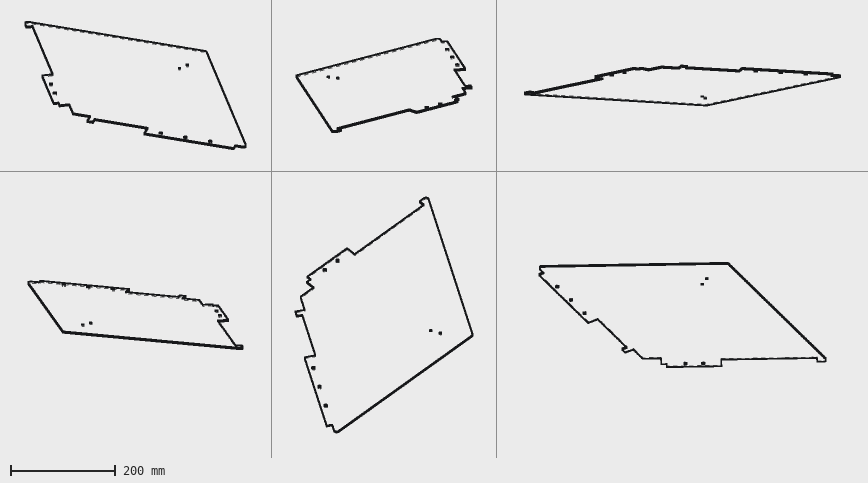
import cadquery as cq
import math

length = 540.0
width = 326.0
thickness = 3.0
corner_radius = 5.5
skew_angle = math.radians(60)

corner_overhang = corner_radius * (1 / math.tan(skew_angle / 2) - 1)

hook_end = 21.0
tab_start = 204.0
tab_end = 309.0
tooth_end = 319.0

main_edge_depth = 12.0
tab_depth = -9.0
tooth_depth = 0.0
lower_edge_depth = 19.0

toe_level = 11.0
ledge_level = 29.0
recess_level = 21.5
peg_left = 223.5
peg_right = 235.0
foot_left = 341.5
foot_right = 521.0

mount_diameter = 5.5
pilot_diameter = 3.5
foot_hole_x = 371.0
foot_hole_pitch = 49.5
foot_hole_count = 3
foot_hole_level = 10.0
tab_hole_stations = (239.0, 273.0)
tab_hole_depth = 0.8
pilot_points = [(342.5, 267.0), (332.0, 250.5)]

upper_left = (-corner_overhang, width)
lower_right = (length + corner_overhang, toe_level)
upper_right = (lower_right[0] - (width - toe_level) / math.tan(skew_angle), width)


def slanted(station, depth):
    """Point at a station down the slanted left side and a depth into the plate."""
    x = upper_left[0] + station * math.cos(skew_angle) + depth * math.sin(skew_angle)
    y = upper_left[1] - station * math.sin(skew_angle) + depth * math.cos(skew_angle)
    return (x, y)


ledge_station = (width - ledge_level + lower_edge_depth * math.cos(skew_angle)) / math.sin(skew_angle)


def make_plate():
    left_side = [
        upper_left,
        slanted(hook_end, 0),
        slanted(hook_end, main_edge_depth),
        slanted(tab_start, main_edge_depth),
        slanted(tab_start, tab_depth),
        slanted(tab_end, tab_depth),
        slanted(tab_end, tooth_depth),
        slanted(tooth_end, tooth_depth),
        slanted(tooth_end, lower_edge_depth),
        slanted(ledge_station, lower_edge_depth),
    ]
    bottom_side = [
        (peg_left, ledge_level),
        (peg_left, toe_level),
        (peg_right, toe_level),
        (peg_right, recess_level),
        (foot_left, recess_level),
        (foot_left, 0),
        (foot_right, 0),
        (foot_right, toe_level),
    ]
    outline = left_side + bottom_side + [lower_right, upper_right]
    plate = cq.Workplane("XY").polyline(outline).close().extrude(thickness)
    for x, y in (upper_left, lower_right, upper_right):
        corner = cq.selectors.NearestToPointSelector((x, y, thickness / 2))
        plate = plate.edges("|Z").edges(corner).fillet(corner_radius)
    return plate


def drill(plate, points, diameter):
    cutters = cq.Workplane("XY").pushPoints(points).circle(diameter / 2).extrude(thickness)
    return plate.cut(cutters)


foot_holes = [(foot_hole_x + i * foot_hole_pitch, foot_hole_level) for i in range(foot_hole_count)]
tab_holes = [slanted(station, tab_hole_depth) for station in tab_hole_stations]

result = make_plate()
result = drill(result, foot_holes + tab_holes, mount_diameter)
result = drill(result, pilot_points, pilot_diameter)